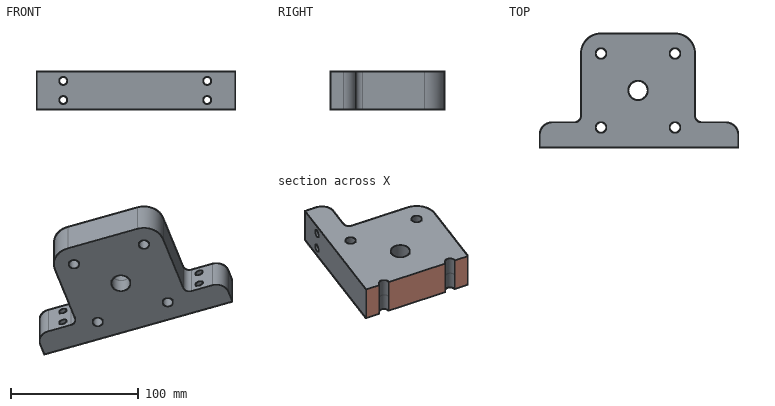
import cadquery as cq

length = 156.5
depth = 90.0
thickness = 30.0

body_width = 90.0
body_center_x = -0.8
body_corner_radius = 16.0

flange_depth = 20.0
flange_corner_radius = 10.0
inner_fillet_radius = 5.0

bore_diameter = 15.0
body_hole_diameter = 8.1
body_hole_pitch = 58.2

flange_hole_diameter = 6.1
flange_hole_pitch_x = 113.3
flange_hole_pitch_z = 15.0
flange_hole_center_x = -0.6

front_y = -depth / 2
back_y = depth / 2
shoulder_y = front_y + flange_depth
body_left = body_center_x - body_width / 2
body_right = body_center_x + body_width / 2


def block(x_min, x_max, y_max):
    """Full-thickness block from the front face back to y_max."""
    return cq.Workplane("XY").box(
        x_max - x_min, y_max - front_y, thickness, centered=False
    ).translate((x_min, front_y, -thickness / 2))


def fillet_vertical_edges(solid, x_positions, y, radius):
    """Round the vertical edges standing at the given x positions and y."""
    for x in x_positions:
        nearest_edge = cq.selectors.NearestToPointSelector((x, y, 0))
        solid = solid.edges("|Z").edges(nearest_edge).fillet(radius)
    return solid


flange = block(-length / 2, length / 2, shoulder_y)
body = block(body_left, body_right, back_y)
plate = flange.union(body)

body_sides = (body_left, body_right)
flange_ends = (-length / 2, length / 2)
plate = fillet_vertical_edges(plate, body_sides, back_y, body_corner_radius)
plate = fillet_vertical_edges(plate, body_sides, shoulder_y, inner_fillet_radius)
plate = fillet_vertical_edges(plate, flange_ends, shoulder_y, flange_corner_radius)

bore = (
    cq.Workplane("XY")
    .center(body_center_x, 0)
    .circle(bore_diameter / 2)
    .extrude(thickness, both=True)
)
body_holes = (
    cq.Workplane("XY")
    .center(body_center_x, 0)
    .rarray(body_hole_pitch, body_hole_pitch, 2, 2)
    .circle(body_hole_diameter / 2)
    .extrude(thickness, both=True)
)

flange_holes = (
    cq.Workplane("XZ")
    .center(flange_hole_center_x, 0)
    .rarray(flange_hole_pitch_x, flange_hole_pitch_z, 2, 2)
    .circle(flange_hole_diameter / 2)
    .extrude(depth, both=True)
)

result = plate.cut(bore).cut(body_holes).cut(flange_holes)